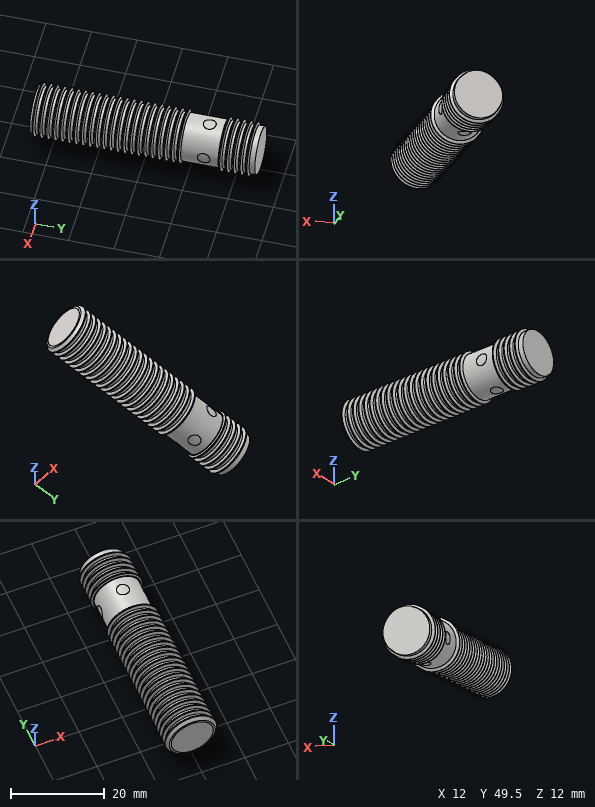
import cadquery as cq

length = 49.5
front_y = -length / 2
rear_y = length / 2

ridge_radius = 12.0 / 2
core_radius = 10.65 / 2
crest_width = 0.25
root_width = 0.9

nose_chamfer = ridge_radius - core_radius

front_ridge_count = 22
front_row_span = 32.0
front_row_start = front_y + nose_chamfer + crest_width / 2

rear_ridge_count = 5
rear_row_span = 6.0
end_cap_length = 1.25
end_cap_y = rear_y - end_cap_length
rear_row_start = end_cap_y - root_width / 2 - rear_row_span

band_shoulder_cut = 0.1
flank_width = (root_width - crest_width) / 2
band_shoulder_height = (ridge_radius - core_radius) * band_shoulder_cut / flank_width
band_shoulder_y = rear_row_start - root_width / 2 + band_shoulder_cut

sensing_face_radius = 9.7 / 2
sensing_face_depth = 1.0

window_radius = 2.75 / 2
window_depth = 1.0
window_y = rear_y - 11.25
window_count = 4


def disc(radius, start_y, thickness):
    """Cylinder on the Y axis that runs from start_y toward +Y."""
    plane = cq.Plane(origin=(0, start_y, 0), xDir=(0, 0, 1), normal=(0, 1, 0))
    return cq.Workplane(plane).circle(radius).extrude(thickness)


def row_centers(start_y, span, count):
    """Evenly spaced ridge centres along Y."""
    return [start_y + span * i / (count - 1) for i in range(count)]


def ridge_points(center_y):
    """Outline of one ridge as (radius, y), from its front root to its rear root."""
    return [
        (core_radius, center_y - root_width / 2),
        (ridge_radius, center_y - crest_width / 2),
        (ridge_radius, center_y + crest_width / 2),
        (core_radius, center_y + root_width / 2),
    ]


def make_barrel():
    """Threaded barrel, revolved in one piece from the nose to the end cap."""
    front_centers = row_centers(front_row_start, front_row_span, front_ridge_count)
    rear_centers = row_centers(rear_row_start, rear_row_span, rear_ridge_count)
    outline = [(0, front_y), (core_radius, front_y)]
    outline += ridge_points(front_centers[0])[1:]
    for center_y in front_centers[1:]:
        outline += ridge_points(center_y)
    outline.append((core_radius, band_shoulder_y))
    outline.append((core_radius + band_shoulder_height, band_shoulder_y))
    outline += ridge_points(rear_centers[0])[1:]
    for center_y in rear_centers[1:]:
        outline += ridge_points(center_y)
    outline.append((0, end_cap_y))
    half_section = [(-radius, y) for radius, y in outline]
    return cq.Workplane("XY").polyline(half_section).close().revolve(360, (0, 0, 0), (0, 1, 0))


def make_window(turn_angle):
    """Round window whose outer end is flush with the core cylinder."""
    rod = (
        cq.Workplane("XY", origin=(0, window_y, core_radius - window_depth))
        .circle(window_radius)
        .extrude(2 * window_depth)
    )
    core = disc(core_radius, front_y, length)
    return rod.rotate((0, 0, 0), (0, 1, 0), turn_angle).intersect(core)


def make_housing(fitted_bodies):
    """Barrel with a matching recess for each body set into it."""
    housing = make_barrel()
    for body in fitted_bodies:
        housing = housing.cut(body)
    return housing


sensing_face = disc(sensing_face_radius, front_y, sensing_face_depth)
end_cap = disc(core_radius, end_cap_y, end_cap_length)
windows = [make_window(i * 360 / window_count) for i in range(window_count)]
housing = make_housing([sensing_face, *windows])

result = cq.Compound.makeCompound(
    [housing.val(), sensing_face.val(), end_cap.val()]
    + [solid for window in windows for solid in window.vals()]
)